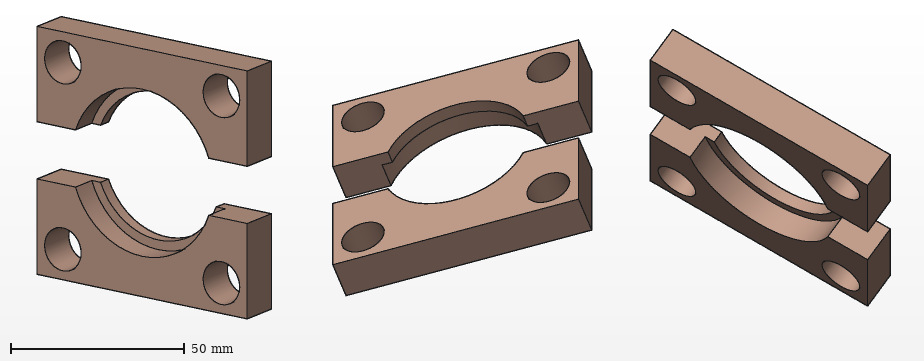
import cadquery as cq

side = 75.0
thickness = 12.0
half_gap = 8.6

bore_radius = 22.35
seat_radius = 25.3
seat_depth = 8.0

hole_diameter = 13.0
hole_offset = 28.3

half_height = side / 2 - half_gap
front_y = -thickness / 2


def cylinder_along_y(radius, length, x=0.0, z=0.0):
    """Cylinder starting on the front face and running towards +Y."""
    return cq.Workplane(
        cq.Solid.makeCylinder(radius, length, cq.Vector(x, front_y, z), cq.Vector(0, 1, 0))
    )


def clamp_half(direction):
    """One clamp half: direction is +1 for the upper and -1 for the lower half."""
    block_center_z = direction * (half_gap + half_height / 2)
    half = cq.Workplane("XY").box(side, thickness, half_height).translate((0, 0, block_center_z))

    half = half.cut(cylinder_along_y(bore_radius, thickness))
    half = half.cut(cylinder_along_y(seat_radius, seat_depth))

    for x in (-hole_offset, hole_offset):
        half = half.cut(cylinder_along_y(hole_diameter / 2, thickness, x, direction * hole_offset))
    return half


clamp_halves = [clamp_half(direction) for direction in (1, -1)]

result = cq.Compound.makeCompound([half.val() for half in clamp_halves])